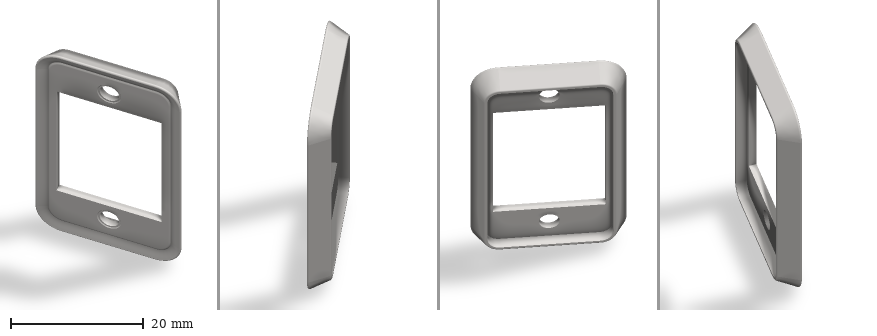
import cadquery as cq
import math

width = 23.6
height = 40.2
depth = 3.4
corner_radius = 4.22
outer_taper = 30.0
edge_radius = 0.25

rim_inset = 0.25
slope_end_inset = 1.8
slope_depth = 0.65

panel_depth = 0.5
panel_thickness = 1.2
panel_edge_radius = 0.45
panel_flat_inset = 2.2

back_pocket_inset = 2.3

window_width = 17.05
window_height = 22.93
screw_hole_diameter = 3.15
screw_seat_diameter = 3.7
screw_seat_depth = 0.12
screw_seat_chamfer = 0.12
screw_hole_offset = 14.5

front_y = -depth / 2
sharp_angle = math.radians(90 - outer_taper)
rounding_loss = edge_radius * (1 / math.tan(sharp_angle / 2) - 1)


def plane_at_depth(distance):
    """Sketch plane at a distance behind the front, extruding toward the back."""
    return cq.Plane(origin=(0, front_y + distance, 0), xDir=(1, 0, 0), normal=(0, 1, 0))


def inset_block(inset, start, length, taper=0):
    """Block whose outline lies inside the outer outline, with concentric corners."""
    profile = (
        cq.Sketch()
        .rect(width - 2 * inset, height - 2 * inset)
        .vertices()
        .fillet(corner_radius - inset)
    )
    return cq.Workplane(plane_at_depth(start)).placeSketch(profile).extrude(length, taper=taper)


def make_body():
    body = inset_block(-rounding_loss, 0, depth, outer_taper)
    return body.faces("<Y or >Y").edges().fillet(edge_radius)


def make_front_recess():
    slope_taper = math.degrees(math.atan((slope_end_inset - rim_inset) / slope_depth))
    recess = inset_block(rim_inset, 0, slope_depth, slope_taper)
    panel_top = inset_block(panel_flat_inset - panel_edge_radius, panel_depth, panel_thickness)
    panel_top = panel_top.faces("<Y").edges().fillet(panel_edge_radius)
    return recess.cut(panel_top)


def make_back_pocket():
    start = panel_depth + panel_thickness
    return inset_block(back_pocket_inset, start, depth - start)


def make_window():
    return cq.Workplane(plane_at_depth(0)).rect(window_width, window_height).extrude(depth)


def make_screw_holes():
    """Through holes with a shallow conical seat around each mouth."""
    centers = [(0, -screw_hole_offset), (0, screw_hole_offset)]
    panel_face = cq.Workplane(plane_at_depth(panel_depth)).pushPoints(centers)
    holes = panel_face.circle(screw_hole_diameter / 2).extrude(panel_thickness)
    mouth_radius = screw_seat_diameter / 2 + screw_seat_chamfer
    seat_taper = math.degrees(math.atan(screw_seat_chamfer / screw_seat_depth))
    seats = panel_face.circle(mouth_radius).extrude(screw_seat_depth, taper=seat_taper)
    return holes.union(seats)


result = (
    make_body()
    .cut(make_front_recess())
    .cut(make_back_pocket())
    .cut(make_window())
    .cut(make_screw_holes())
)